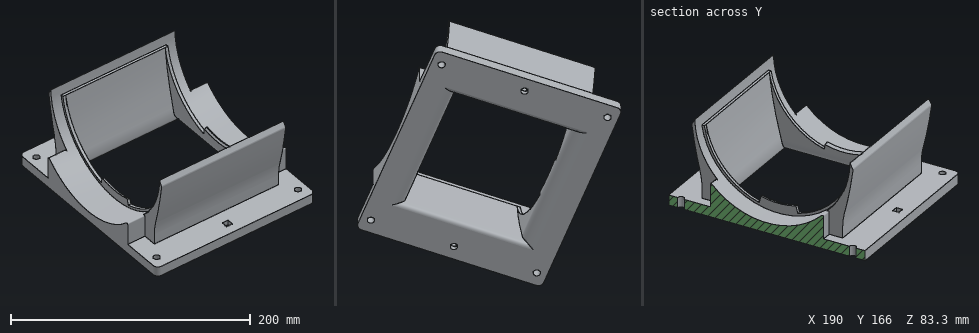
import cadquery as cq
import math

base_length = 190.0
base_width = 166.0
base_height = 10.0
base_corner_radius = 5.0

bore_radius = 75.0
axis_height = base_height + bore_radius

saddle_half_width = 55.0
saddle_rim_radius = 1.3

wall_length = 130.0
tip_height = 83.28
tip_half_width = math.sqrt(bore_radius**2 - (axis_height - tip_height) ** 2)
crest_half_width = 77.8
crest_top_height = 78.3
crest_bottom_height = 76.0
crest_mid_half_width = 78.0
flank_mid_height = 54.5
flank_mid_half_width = 74.3
flank_low_height = 32.8
flank_low_half_width = 69.4
foot_height = 20.0
foot_half_width = 68.0
foot_mid_height = 26.5
foot_mid_half_width = 68.35

seat_radius = 72.5
seat_length = 110.0
seat_top_height = 73.2
root_overlap = 1.0

window_length = 104.0
window_top_half_width = math.sqrt(seat_radius**2 - (axis_height - seat_top_height) ** 2)
window_end_rim_radius = 12.0
window_side_rim_radius = 4.0
window_throat_half_width = 59.1
window_low_height = 15.8
window_low_half_width = 60.7
window_bend_height = 10.0
window_bend_half_width = 59.5
window_mid_height = 43.5
window_mid_half_width = 67.1

tab_half_angle = 15.0
front_tab_inner_radius = 68.0
front_tab_outer_radius = 66.5
rear_tab_inner_radius = 66.5
rear_tab_crest_radius = 65.0
rear_tab_outer_radius = 65.7
rear_tab_crest_y = 53.8

hole_diameter = 6.0
hole_x = 83.0
corner_hole_y = 74.0
square_pocket_size = 6.0
square_pocket_depth = 5.0


def extrude_along_y(sketch, length):
    """Extrude an XZ outline by the given length, centred on Y = 0."""
    return sketch.extrude(length / 2, both=True)


def bore(radius, length):
    """Cylinder on the cradle axis."""
    return extrude_along_y(cq.Workplane("XZ").center(0, axis_height).circle(radius), length)


def make_base():
    plate = cq.Workplane("XY").box(base_length, base_width, base_height, centered=(True, True, False))
    return plate.edges("|Z").fillet(base_corner_radius)


def make_saddles():
    """Full-width cradle block with rounded rims; its exposed ends are the saddles."""
    rim_height = axis_height - math.sqrt(bore_radius**2 - saddle_half_width**2)
    block = cq.Workplane("XY").box(
        2 * saddle_half_width, base_width, rim_height, centered=(True, True, False)
    )
    cradle = block.cut(bore(bore_radius, base_width))
    return cradle.faces(">X or <X").edges(">Z").fillet(saddle_rim_radius)


def make_walls():
    """Solid between the two outer wall profiles, up to the wall tips."""
    outline = (
        cq.Workplane("XZ")
        .moveTo(foot_half_width, 0)
        .lineTo(foot_half_width, foot_height)
        .threePointArc((foot_mid_half_width, foot_mid_height), (flank_low_half_width, flank_low_height))
        .threePointArc((flank_mid_half_width, flank_mid_height), (crest_half_width, crest_bottom_height))
        .threePointArc(
            (crest_mid_half_width, (crest_bottom_height + crest_top_height) / 2),
            (crest_half_width, crest_top_height),
        )
        .lineTo(tip_half_width, tip_height)
        .lineTo(0, tip_height)
        .lineTo(0, 0)
        .close()
    )
    half = extrude_along_y(outline, wall_length)
    return half.union(half.mirror("YZ"))


def make_seat():
    """Lining inside the bore, cut level at the top."""
    lining = bore(bore_radius + root_overlap, seat_length).cut(bore(seat_radius, seat_length))
    keep = cq.Workplane("XY").box(base_length, seat_length, seat_top_height, centered=(True, True, False))
    return lining.intersect(keep)


def make_tab(top_profile):
    """Sector-shaped tab; top_profile lists (Y, radius from the cradle axis) along its top."""
    first_y = top_profile[0][0]
    last_y = top_profile[-1][0]
    root_radius = bore_radius + root_overlap
    outline = [(first_y, root_radius)] + top_profile + [(last_y, root_radius)]
    section = cq.Workplane("YZ").polyline([(y, axis_height - radius) for y, radius in outline]).close()
    tab = section.revolve(2 * tab_half_angle, (0, axis_height, 0), (1, axis_height, 0))
    return tab.rotate((0, 0, axis_height), (0, 1, axis_height), -tab_half_angle)


def make_front_tab():
    """Tab at -Y, with a single slope falling towards the window."""
    return make_tab([
        (-window_length / 2, front_tab_inner_radius),
        (-seat_length / 2, front_tab_outer_radius),
    ])


def make_rear_tab():
    """Tab at +Y, with a ridge along its top."""
    return make_tab([
        (window_length / 2, rear_tab_inner_radius),
        (rear_tab_crest_y, rear_tab_crest_radius),
        (seat_length / 2, rear_tab_outer_radius),
    ])


def rim_arc_middle(throat, radius):
    """Middle point of a quarter-round rim that flares from the throat out to Z = 0."""
    inset = radius * (1 - math.sqrt(0.5))
    return (throat + inset, inset)


def make_window():
    """Opening whose width follows the side walls and whose lower rim flares outward."""
    side_foot = window_throat_half_width + window_side_rim_radius
    width_outline = (
        cq.Workplane("XZ")
        .moveTo(0, 0)
        .lineTo(side_foot, 0)
        .threePointArc(
            rim_arc_middle(window_throat_half_width, window_side_rim_radius),
            (window_throat_half_width, window_side_rim_radius),
        )
        .threePointArc(
            (window_bend_half_width, window_bend_height), (window_low_half_width, window_low_height)
        )
        .threePointArc(
            (window_mid_half_width, window_mid_height), (window_top_half_width, seat_top_height)
        )
        .lineTo(0, seat_top_height)
        .close()
    )
    half_wide = extrude_along_y(width_outline, base_width)
    full_width = half_wide.union(half_wide.mirror("YZ"))

    half_length = window_length / 2
    end_foot = half_length + window_end_rim_radius
    length_outline = (
        cq.Workplane("YZ")
        .moveTo(0, 0)
        .lineTo(end_foot, 0)
        .threePointArc(
            rim_arc_middle(half_length, window_end_rim_radius),
            (half_length, window_end_rim_radius),
        )
        .lineTo(half_length, seat_top_height)
        .lineTo(0, seat_top_height)
        .close()
    )
    half_long = length_outline.extrude(base_length / 2, both=True)
    full_length = half_long.union(half_long.mirror("XZ"))
    return full_width.intersect(full_length)


def make_mounting_holes():
    """Six through holes; the middle one on each side has a square pocket on top."""
    sides = (-hole_x, hole_x)
    hole_points = [(x, y) for x in sides for y in (-corner_hole_y, 0, corner_hole_y)]
    pocket_points = [(x, 0) for x in sides]
    holes = cq.Workplane("XY").pushPoints(hole_points).circle(hole_diameter / 2).extrude(base_height)
    pockets = (
        cq.Workplane("XY", origin=(0, 0, base_height))
        .pushPoints(pocket_points)
        .rect(square_pocket_size, square_pocket_size)
        .extrude(-square_pocket_depth)
    )
    return holes.union(pockets)


body = make_base().union(make_saddles()).union(make_walls())
body = body.cut(bore(bore_radius, base_width))
body = body.union(make_seat()).union(make_front_tab()).union(make_rear_tab())
result = body.cut(make_window()).cut(make_mounting_holes())